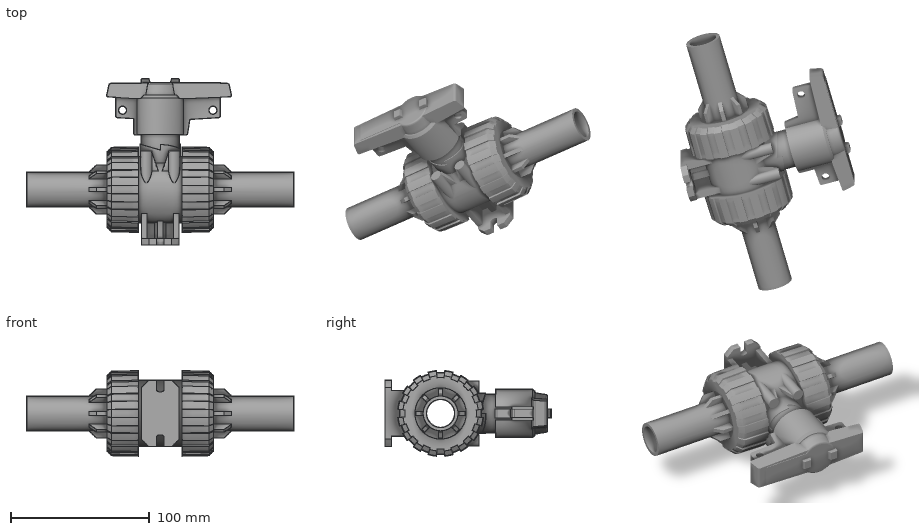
import cadquery as cq

pipe_length = 192.5
pipe_diameter = 25.0
bore_diameter = 20.0

nut_inner_x = 15.8
nut_chamfer_x = 35.0
nut_outer_x = 38.5
nut_radius = 31.0
nut_draft = 0.4
nut_chamfer = 3.5
groove_depth = 1.3
tooth_count = 16
collar_diameter = 37.0
collar_recess = 0.5

rib_count = 8
rib_radius = 17.7
rib_width = 2.9
rib_slope_x = 46.0
rib_end_x = 51.4

body_diameter = 48.0
foot_base_y = -40.0
foot_plate_thickness = 4.8
foot_half_width = 13.7
foot_corner = 5.4
foot_slot_width = 5.5
foot_slot_bottom_z = 15.4
foot_slot_sagitta = 1.3
foot_wall_thickness = 4.0
foot_wall_half_height = 16.5
foot_center_wall_width = 4.2
foot_center_wall_half_height = 8.0
foot_web_thickness = 3.8
foot_boss_diameter = 9.0

pin_diameter = 8.0
pin_x = 10.0
pin_z = 19.5
pin_top_y = 27.7
gusset_thickness = 2.9
gusset_top_z = 19.8
gusset_tip_x = 1.3
gusset_top_y = 26.8
gusset_low_y = 13.3

neck_diameter = 28.0
neck_top_y = 51.4
stop_diameter = 29.3
stop_step_x = 0.0
stop_high_y = 32.7
stop_step_low_y = 28.5
stop_step_high_y = 32.3
stop_low_y = 29.3
stop_crown_x = 8.7
stop_crown_y = 31.4

hub_radius = 17.5
hub_bottom_y = 39.7
hub_shoulder_y = 66.0
cap_base_y = 68.0
cap_shoulder_radius = 16.0
cap_base_radius = 15.0
cap_top_y = 77.0
cap_top_radius = 13.5
cap_edge_fillet = 1.5

bar_left_x = -38.9
bar_right_x = 51.5
bar_top_y = 76.6
bar_end_bottom_y = 66.8
bar_mid_bottom_y = 65.5
bar_end_lean = 2.1
bar_end_half_width = 9.6
bar_mid_half_width = 11.5
bar_draft_angle = 5.0
bar_lower_fillet = 1.2
bar_upper_fillet = 2.0
bar_left_wall = 2.9
bar_right_wall = 4.2
bar_roof = 2.9
slot_half_width = 4.6

plate_thickness = 6.5
plate_left_x = -32.1
plate_right_x = 43.3
plate_inner_left_x = -19.2
plate_inner_right_x = 21.4
plate_foot_right_x = 19.6
plate_foot_y = 39.3
plate_ear_end_y = 51.8
plate_ear_left_y = 51.0
plate_ear_right_y = 50.5
plate_corner_fillet = 1.5
ear_hole_diameter = 5.5
ear_hole_y = 57.2
ear_hole_left_x = -27.1
ear_hole_right_x = 38.0

catch_top_y = 79.9
catch_outer_x = 13.9
catch_inner_x = 7.0
catch_slope = 1.3
catch_chamfer = 0.8
pad_height = 0.4
pad_half_width = 7.7


def cylinder_x(diameter, x_from, x_to):
    return cq.Workplane("YZ", origin=(x_from, 0, 0)).circle(diameter / 2).extrude(x_to - x_from)


def cylinder_y(diameter, y_from, y_to, x=0.0, z=0.0):
    plane = cq.Workplane("XZ", origin=(x, y_from, z))
    return plane.circle(diameter / 2).extrude(y_from - y_to)


def block(x_from, x_to, y_from, y_to, half_height):
    plane = cq.Workplane("XY", origin=(0, 0, -half_height))
    outline = [(x_from, y_from), (x_to, y_from), (x_to, y_to), (x_from, y_to)]
    return plane.polyline(outline).close().extrude(2 * half_height)


def revolve_about_x(points, angle=360.0):
    return cq.Workplane("XY").polyline(points).close().revolve(angle, (0, 0, 0), (1, 0, 0))


def mirrored_pair(shape):
    return shape.union(shape.mirror("YZ"))


def nut_profile(offset):
    edge_radius = nut_radius - offset
    return [
        (nut_inner_x, 0),
        (nut_inner_x, edge_radius),
        (nut_chamfer_x, edge_radius - nut_draft),
        (nut_outer_x, edge_radius - nut_draft - nut_chamfer),
        (nut_outer_x, 0),
    ]


def make_nut():
    nut = revolve_about_x(nut_profile(groove_depth))
    pitch = 360.0 / tooth_count
    tooth = revolve_about_x(nut_profile(0), pitch / 2)
    for index in range(tooth_count):
        nut = nut.union(tooth.rotate((0, 0, 0), (1, 0, 0), pitch * (index + 0.25)))
    recess = cylinder_x(collar_diameter, nut_outer_x - collar_recess, nut_outer_x)
    return nut.cut(recess)


def make_ribs():
    profile = [
        (nut_inner_x, 0),
        (nut_inner_x, rib_radius),
        (rib_slope_x, rib_radius),
        (rib_end_x, pipe_diameter / 2),
        (rib_end_x, 0),
    ]
    rib = cq.Workplane("XY", origin=(0, 0, -rib_width / 2)).polyline(profile).close().extrude(rib_width)
    ribs = rib
    for index in range(1, rib_count):
        ribs = ribs.union(rib.rotate((0, 0, 0), (1, 0, 0), index * 360.0 / rib_count))
    return ribs


def make_foot():
    half_height = body_diameter / 2
    plate_top_y = foot_base_y + foot_plate_thickness
    plate = block(-foot_half_width, foot_half_width, foot_base_y, plate_top_y, half_height)
    plate = plate.edges("|Y").chamfer(foot_corner)
    half_slot = foot_slot_width / 2
    slot_side_z = foot_slot_bottom_z + foot_slot_sagitta
    slot = (
        cq.Workplane("XZ", origin=(0, plate_top_y, 0))
        .moveTo(-half_slot, half_height)
        .lineTo(-half_slot, slot_side_z)
        .threePointArc((0, foot_slot_bottom_z), (half_slot, slot_side_z))
        .lineTo(half_slot, half_height)
        .close()
        .extrude(foot_plate_thickness)
    )
    foot = plate.cut(slot).cut(slot.mirror("XY"))

    side_wall_x = foot_half_width - foot_wall_thickness
    side_wall = block(side_wall_x, foot_half_width, plate_top_y, 0, foot_wall_half_height)
    half_center = foot_center_wall_width / 2
    center_wall = block(-half_center, half_center, plate_top_y, 0, foot_center_wall_half_height)
    web = block(-side_wall_x, side_wall_x, plate_top_y, 0, foot_web_thickness / 2)
    boss = cylinder_y(foot_boss_diameter, plate_top_y, 0)
    return foot.union(mirrored_pair(side_wall)).union(center_wall).union(web).union(boss)


def make_pins():
    pin = cylinder_y(pin_diameter, 0, pin_top_y, pin_x, pin_z)
    gusset_root_x = pin_x - pin_diameter / 2
    gusset = (
        cq.Workplane("XY", origin=(0, 0, gusset_top_z - gusset_thickness))
        .polyline([
            (pin_x, gusset_low_y - gusset_thickness),
            (gusset_tip_x, gusset_low_y - gusset_thickness),
            (gusset_tip_x, gusset_low_y),
            (gusset_root_x, gusset_top_y),
            (pin_x, gusset_top_y),
        ])
        .close()
        .extrude(gusset_thickness)
    )
    upper = mirrored_pair(pin.union(gusset))
    return upper.union(upper.mirror("XY"))


def make_neck():
    radius = stop_diameter / 2
    sawtooth = (
        cq.Workplane("XY")
        .moveTo(-radius, 0)
        .lineTo(-radius, stop_high_y)
        .lineTo(stop_step_x, stop_step_low_y)
        .lineTo(stop_step_x, stop_step_high_y)
        .threePointArc((stop_crown_x, stop_crown_y), (radius, stop_low_y))
        .lineTo(radius, 0)
        .close()
        .extrude(radius)
    )
    both_halves = sawtooth.union(sawtooth.rotate((0, 0, 0), (0, 1, 0), 180))
    stop_collar = cylinder_y(stop_diameter, 0, stop_high_y).intersect(both_halves)
    return cylinder_y(neck_diameter, 0, neck_top_y).union(stop_collar)


def make_hub():
    profile = [
        (0, hub_bottom_y),
        (hub_radius, hub_bottom_y),
        (hub_radius, hub_shoulder_y),
        (cap_shoulder_radius, cap_base_y),
        (cap_base_radius, cap_base_y),
        (cap_top_radius, cap_top_y),
        (0, cap_top_y),
    ]
    hub = cq.Workplane("XY").polyline(profile).close().revolve(360, (0, 0, 0), (0, 1, 0))
    return hub.faces(">Y").edges().fillet(cap_edge_fillet)


def make_bar():
    profile = (
        cq.Workplane("XY", origin=(0, 0, -bar_mid_half_width))
        .polyline([
            (bar_left_x, bar_end_bottom_y),
            (-hub_radius, bar_mid_bottom_y),
            (hub_radius, bar_mid_bottom_y),
            (bar_right_x, bar_end_bottom_y),
            (bar_right_x - bar_end_lean, bar_top_y),
            (bar_left_x + bar_end_lean, bar_top_y),
        ])
        .close()
        .extrude(2 * bar_mid_half_width)
        .edges("|Z and (<X or >X)")
        .fillet(bar_lower_fillet)
        .edges("|Z and >Y")
        .fillet(bar_upper_fillet)
    )
    plan = (
        cq.Workplane("XZ", origin=(0, bar_mid_bottom_y, 0))
        .polyline([
            (bar_left_x, -bar_end_half_width),
            (0, -bar_mid_half_width),
            (bar_right_x, -bar_end_half_width),
            (bar_right_x, bar_end_half_width),
            (0, bar_mid_half_width),
            (bar_left_x, bar_end_half_width),
        ])
        .close()
        .extrude(bar_mid_bottom_y - bar_top_y, taper=bar_draft_angle)
    )
    return profile.intersect(plan)


def make_handle_slot():
    left_end = bar_left_x + bar_left_wall
    right_end = bar_right_x - bar_right_wall
    return block(left_end, right_end, hub_bottom_y, bar_top_y - bar_roof, slot_half_width)


def make_locking_plate():
    inside_bar_y = bar_top_y - bar_roof
    plate = (
        cq.Workplane("XY", origin=(0, 0, -plate_thickness / 2))
        .polyline([
            (plate_left_x, inside_bar_y),
            (plate_left_x, plate_ear_end_y),
            (plate_inner_left_x, plate_ear_left_y),
            (plate_inner_left_x, plate_foot_y),
            (plate_foot_right_x, plate_foot_y),
            (plate_inner_right_x, plate_ear_right_y),
            (plate_right_x, plate_ear_end_y),
            (plate_right_x, inside_bar_y),
        ])
        .close()
        .extrude(plate_thickness)
    )
    lower_corners = cq.selectors.BoxSelector(
        (bar_left_x, 0, -plate_thickness),
        (bar_right_x, ear_hole_y, plate_thickness),
    )
    plate = plate.edges("|Z and (<X or >X or <Y)").edges(lower_corners).fillet(plate_corner_fillet)
    for hole_x in (ear_hole_left_x, ear_hole_right_x):
        center = (hole_x, ear_hole_y, -plate_thickness / 2)
        hole = cq.Workplane("XY", origin=center).circle(ear_hole_diameter / 2).extrude(plate_thickness)
        plate = plate.cut(hole)
    return plate


def make_catches():
    catch = (
        cq.Workplane("XY", origin=(0, 0, -plate_thickness / 2))
        .polyline([
            (catch_inner_x, bar_top_y - bar_roof),
            (catch_inner_x, bar_top_y),
            (catch_inner_x + catch_slope, catch_top_y),
            (catch_outer_x - catch_chamfer, catch_top_y),
            (catch_outer_x, catch_top_y - catch_chamfer),
            (catch_outer_x, bar_top_y - bar_roof),
        ])
        .close()
        .extrude(plate_thickness)
    )
    pad = block(catch_inner_x, plate_right_x, bar_top_y, bar_top_y + pad_height, pad_half_width)
    return mirrored_pair(catch).union(pad)


pipe = cylinder_x(pipe_diameter, -pipe_length / 2, pipe_length / 2)
body = cylinder_x(body_diameter, -nut_inner_x, nut_inner_x)
handle = make_hub().union(make_bar()).cut(make_handle_slot())
handle = handle.union(make_locking_plate()).union(make_catches())

valve = body.union(pipe)
valve = valve.union(mirrored_pair(make_nut().union(make_ribs())))
valve = valve.union(make_foot()).union(make_pins())
valve = valve.union(make_neck()).union(handle)
result = valve.cut(cylinder_x(bore_diameter, -pipe_length / 2, pipe_length / 2))